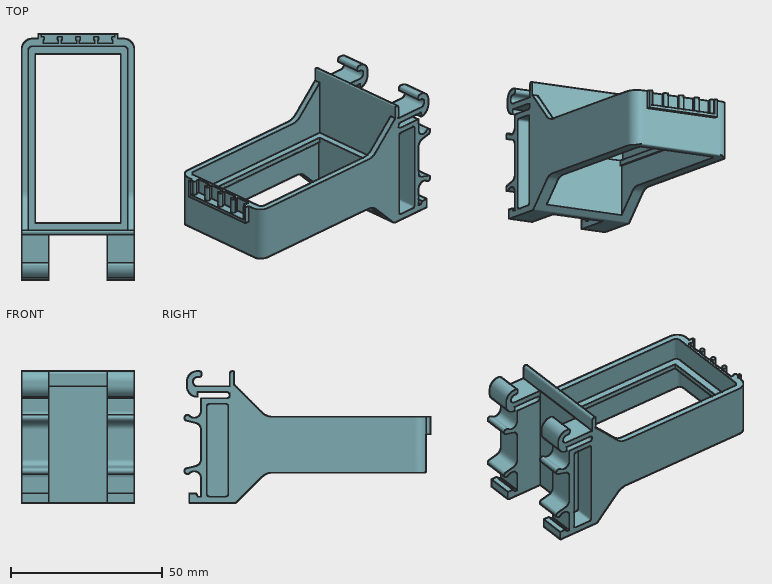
import cadquery as cq
import math

width = 37.3
height = 43.7
back_y = 74.45
frame_bottom = 10.05
frame_top = 28.6
side_wall = 2.15
back_wall = 2.55
inner_corner_radius = 1.5
outer_corner_radius = inner_corner_radius + side_wall
back_bottom_radius = 0.5

plate_front = 9.5
lip_front_radius = 1.0
lip_back_radius = 0.5
lip_thickness = lip_front_radius + lip_back_radius
plate_back = plate_front + lip_thickness
plate_recess = 0.1
flare_start = 21.6
flare_base_y = flare_start - frame_bottom
flare_radius = 5.0
flare_base_radius = 1.0

ledge_bottom = 18.7
ledge_top = 20.4
ledge_back = 2.65
ledge_front = 2.5
window_width = 28.1
lower_cavity_width = 29.1

strip_width = 26.3
strip_depth = 1.5
strip_height = 5.9
strip_floor = 1.0
pocket_depth = 3.05
pocket_width = 24.4
pocket_corner_radius = 0.5
tooth_pitch = 6.0
tooth_tip_gap = 0.85
tooth_head_width = 1.6
tooth_head_length = 1.3
tooth_head_radius = 0.52
tooth_count = 5
tooth_neck_width = 0.9

leg_root = plate_front + lip_thickness / 2
leg_width = 9.0
leg_wall = 1.95
leg_floor = 2.2
leg_top = 34.7
leg_top_radius = 0.4
side_pocket_depth = leg_width - leg_wall
side_pocket_length = 7.15
side_pocket_top = 32.8
side_pocket_radius = 0.8

slot_height = 2.0
arm_bottom = leg_top + slot_height
arm_top = 38.65
hook_y = -1.1
hook_outer_radius = 3.55
hook_center_z = height - hook_outer_radius
hook_inner_radius = hook_center_z - arm_top
hook_tip_y = 0.3
hook_tip_radius = 0.95

latch_mid_z = 19.4
groove_radius = 2.2
groove_center = (-groove_radius, 30.48)
latch_tip_radius = 1.0
latch_tip_y = -4.45
flank_angle = 14.0
root_radius = 2.2

foot_front = -3.85
foot_top = 3.2
foot_ramp_start = -0.95
foot_ramp_end = -1.6
foot_edge_radius = 0.3

select_margin = 0.1


def polar(center, radius, angle):
    """Point on a circle at an angle in degrees."""
    a = math.radians(angle)
    return (center[0] + radius * math.cos(a), center[1] + radius * math.sin(a))


def box(x_size, y_range, z_range):
    """Box centred on X that spans the given Y and Z ranges."""
    y0, y1 = y_range
    z0, z1 = z_range
    block = cq.Workplane("XY").box(x_size, y1 - y0, z1 - z0, centered=(True, False, False))
    return block.translate((0, y0, z0))


def edges_within(y_range, z_range):
    """Selector for edges whose centre lies in the given Y and Z ranges."""
    low = (-width, y_range[0] - select_margin, z_range[0] - select_margin)
    high = (width, y_range[1] + select_margin, z_range[1] + select_margin)
    return cq.selectors.BoxSelector(low, high)


def edge_at(y, z):
    """Selector for the edge along X at the given Y and Z."""
    return edges_within((y, y), (z, z))


def frame_body():
    """Solid frame, flares and lip, swept across the full width."""
    flare_top = frame_top + flare_start - plate_back
    crest_y = plate_front + lip_front_radius
    back_center = (crest_y, height - lip_back_radius)
    front_center = (crest_y, height - lip_front_radius)
    body = (
        cq.Workplane("YZ")
        .moveTo(plate_front, 0)
        .lineTo(flare_base_y, 0)
        .lineTo(flare_start, frame_bottom)
        .lineTo(back_y, frame_bottom)
        .lineTo(back_y, frame_top)
        .lineTo(flare_start, frame_top)
        .lineTo(plate_back, flare_top)
        .lineTo(plate_back, height - lip_back_radius)
        .threePointArc(polar(back_center, lip_back_radius, 45), polar(back_center, lip_back_radius, 90))
        .threePointArc(polar(front_center, lip_front_radius, 135), polar(front_center, lip_front_radius, 180))
        .close()
        .extrude(width / 2, both=True)
    )
    body = body.edges(edge_at(flare_start, frame_bottom)).fillet(flare_radius)
    body = body.edges(edge_at(flare_start, frame_top)).fillet(flare_radius)
    body = body.edges(edge_at(flare_base_y, 0)).fillet(flare_base_radius)
    body = body.edges(edge_at(back_y, frame_bottom)).fillet(back_bottom_radius)
    plan = box(width, (plate_front, back_y), (0, height)).edges("|Z and >Y").fillet(outer_corner_radius)
    return body.intersect(plan)


def frame_cavity():
    """Space inside the frame, leaving the ledge around its window."""
    inner_back = back_y - back_wall
    upper = box(width - 2 * side_wall, (plate_back, inner_back), (ledge_top, height))
    upper = upper.faces(">Y").edges("|Z").fillet(inner_corner_radius)
    window = box(window_width, (plate_back + ledge_front, inner_back - ledge_back), (0, height))
    lower = box(lower_cavity_width, (plate_back + ledge_front, inner_back), (0, ledge_bottom))
    lower = lower.faces(">Y").edges("|Z").fillet(inner_corner_radius)
    return upper.union(window).union(lower)


def back_strip():
    """Block on the back face that carries the toothed pocket."""
    y_range = (back_y - back_wall / 2, back_y + strip_depth)
    return box(strip_width, y_range, (frame_top - strip_height, frame_top))


def tooth(x, z0):
    """Tooth with a narrow neck and a rounded wider head, standing on the pocket floor."""
    root_y = back_y + strip_depth - pocket_depth
    tip_y = back_y + strip_depth - tooth_tip_gap
    neck = box(tooth_neck_width, (root_y, tip_y - tooth_head_length / 2), (z0, frame_top))
    head = box(tooth_head_width, (tip_y - tooth_head_length, tip_y), (z0, frame_top))
    head = head.edges("|Z").fillet(tooth_head_radius)
    return neck.union(head).translate((x, 0, 0))


def tooth_pocket():
    """Pocket in the strip, open to the top and back, with the teeth left standing."""
    z0 = frame_top - strip_height + strip_floor
    end_y = back_y + strip_depth
    pocket = box(pocket_width, (end_y - pocket_depth, end_y), (z0, frame_top))
    pocket = pocket.faces("<Y").edges("|Z").fillet(pocket_corner_radius)
    for i in range(tooth_count):
        pocket = pocket.cut(tooth((i - (tooth_count - 1) / 2) * tooth_pitch, z0))
    return pocket


def leg_block():
    """Leg behind the latches, with a blind pocket in its outer side."""
    block = cq.Workplane("YZ").rect(leg_root, leg_top, centered=False).extrude(leg_width)
    block = block.edges("|X and <Y and >Z").fillet(leg_top_radius)
    slot_end = (
        cq.Workplane("YZ")
        .moveTo(leg_root, leg_top)
        .lineTo(leg_root, arm_bottom)
        .lineTo(plate_front - slot_height / 2, arm_bottom)
        .threePointArc((plate_front, leg_top + slot_height / 2), (plate_front - slot_height / 2, leg_top))
        .close()
        .extrude(leg_width)
    )
    pocket = (
        cq.Workplane("YZ")
        .moveTo(leg_wall, leg_floor)
        .rect(side_pocket_length, side_pocket_top - leg_floor, centered=False)
        .extrude(side_pocket_depth)
        .edges("|X")
        .fillet(side_pocket_radius)
    )
    return block.cut(pocket).union(slot_end)


def hook_arm():
    """Spring arm that ends in an upturned hook and a short downward tab."""
    top_center = (hook_y, hook_center_z)
    bottom_center = (hook_y, arm_top)
    inner_top = hook_center_z + hook_inner_radius
    hook_tip = edges_within((hook_tip_y, hook_tip_y), (inner_top, height))
    return (
        cq.Workplane("YZ")
        .moveTo(leg_root, arm_bottom)
        .lineTo(leg_root, arm_top)
        .lineTo(hook_y, arm_top)
        .threePointArc(polar(top_center, hook_inner_radius, 180), (hook_y, inner_top))
        .lineTo(hook_tip_y, inner_top)
        .lineTo(hook_tip_y, height)
        .lineTo(hook_y, height)
        .threePointArc(polar(top_center, hook_outer_radius, 135), polar(top_center, hook_outer_radius, 180))
        .lineTo(hook_y - hook_outer_radius, arm_top)
        .threePointArc(polar(bottom_center, hook_outer_radius, 225), polar(bottom_center, hook_outer_radius, 270))
        .lineTo(hook_y, arm_bottom)
        .close()
        .extrude(leg_width)
        .edges("|X")
        .edges(hook_tip)
        .fillet(hook_tip_radius)
    )


def upper_latch():
    """Finger with a round tip, a round groove above it and a filleted root below."""
    reach = groove_center[0] - latch_tip_y
    drop = math.sqrt((groove_radius + latch_tip_radius) ** 2 - reach ** 2)
    tip_center = (latch_tip_y, groove_center[1] - drop)
    toward_tip = -math.degrees(math.atan2(drop, -reach))
    from_groove = toward_tip + 180
    flank_normal = 270 - flank_angle
    flank_start = polar(tip_center, latch_tip_radius, flank_normal)
    corner = (0, flank_start[1] + flank_start[0] * math.tan(math.radians(flank_angle)))
    root_length = root_radius * math.tan(math.radians((90 - flank_angle) / 2))
    root_center = (-root_radius, corner[1] - root_length)
    return (
        cq.Workplane("YZ")
        .moveTo(0, groove_center[1])
        .threePointArc(
            polar(groove_center, groove_radius, toward_tip / 2),
            polar(groove_center, groove_radius, toward_tip),
        )
        .threePointArc(polar(tip_center, latch_tip_radius, (from_groove + flank_normal) / 2), flank_start)
        .lineTo(*polar(corner, root_length, 180 - flank_angle))
        .threePointArc(
            polar(root_center, root_radius, (90 - flank_angle) / 2),
            polar(root_center, root_radius, 0),
        )
        .lineTo(leg_wall / 2, root_center[1])
        .lineTo(leg_wall / 2, groove_center[1])
        .close()
        .extrude(leg_width)
    )


def foot():
    """Toe at the bottom of the leg with a raised front end."""
    return (
        cq.Workplane("YZ")
        .moveTo(leg_wall / 2, 0)
        .lineTo(foot_front, 0)
        .lineTo(foot_front, foot_top)
        .lineTo(foot_ramp_end, foot_top)
        .lineTo(foot_ramp_start, leg_floor)
        .lineTo(leg_wall / 2, leg_floor)
        .close()
        .extrude(leg_width)
        .edges("|X and <Y and <Z")
        .fillet(foot_edge_radius)
    )


def plate_step():
    """Slight set-back of the cross plate between the legs, below the level of the arms."""
    return box(width - 2 * leg_width, (plate_front, plate_front + plate_recess), (0, arm_top))


def left_leg():
    """Complete leg on the -X side."""
    latch = upper_latch()
    lower_latch = latch.mirror("XY", (0, 0, latch_mid_z))
    leg = leg_block().union(hook_arm()).union(latch).union(lower_latch).union(foot())
    return leg.translate((-width / 2, 0, 0))


leg = left_leg()
result = frame_body().union(back_strip()).cut(frame_cavity()).cut(tooth_pocket()).cut(plate_step())
result = result.union(leg).union(leg.mirror("YZ"))